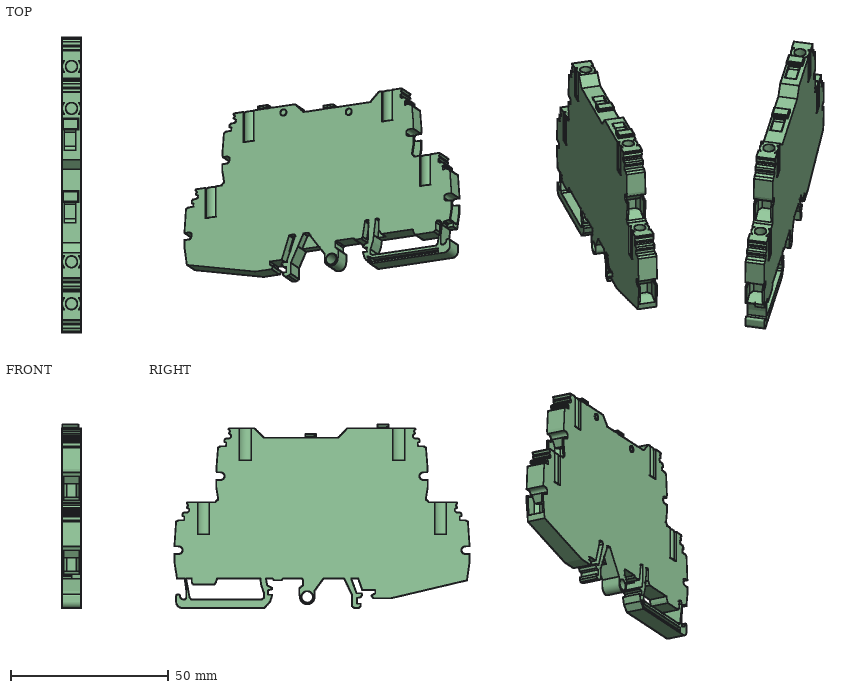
import cadquery as cq


WIDTH = 6.15
LENGTH = 94.0
HEIGHT = 58.55
SIDE_X = -WIDTH / 2
END_Y = LENGTH / 2

TIER_PITCH_Y = 13.35
TIER_PITCH_Z = 23.55
UPPER_TOP_Z = 57.25
LOWER_TOP_Z = UPPER_TOP_Z - TIER_PITCH_Z
UPPER_FACE_Y = END_Y - TIER_PITCH_Y
TIERS = [(UPPER_FACE_Y, UPPER_TOP_Z), (END_Y, LOWER_TOP_Z)]

MIDDLE_DROP = 3.05
MIDDLE_TOP_Z = UPPER_TOP_Z - MIDDLE_DROP
MARKER_PITCH_Y = 23.0

BASE_Z = 9.4
BASE_END_Y = END_Y - 0.85
PAD_EDGE_Y = -41.5
RELIEF_DEPTH = WIDTH / 2

NOTCH_TOP_DROP = 14.1
NOTCH_HEIGHT = 2.35
NOTCH_DEPTH = 2.6
FACE_BELOW_NOTCH = 2.5
UPPER_LIP_HEIGHT = 1.15
UPPER_LIP_INSET = 0.12

FUNNEL_MOUTH_WIDTH = 5.0
FUNNEL_BACK_WIDTH = 3.0
FUNNEL_MOUTH_DROPS = (15.3, 23.0)
FUNNEL_THROAT_DROPS = (17.7, 22.0)
FUNNEL_MOUTH_DEPTH = 4.2
FUNNEL_THROAT_DEPTH = 1.5

SCREW_INSET = 9.25
SCREW_DIAMETER = 3.7
SCREW_DEPTH = 10.15
TUBE_DIAMETER = 5.9

MARKER_Y = 19.4
HEAD_LENGTH = 3.6
HEAD_X = (-3.0, 2.25)
HEAD_THICKNESS = 0.95
HEAD_CHAMFER = 0.3
STEM_LENGTH = 2.65
STEM_OFFSET = 0.2
STEM_X = (-2.95, 2.15)
POCKET_X = (-2.26, 1.4)
POCKET_LENGTH = 6.6
POCKET_RAMP = 1.3
POCKET_DEPTH = 1.0
POCKET_LEDGE = 0.75
POCKET_LEDGE_DEPTH = 0.6

DIMPLE_OFFSET_Y = -7.2
DIMPLE_DROP = 2.15
DIMPLE_DIAMETER = 2.1
DIMPLE_DEPTH = 0.3

EYE_Y = -4.7
EYE_Z = 3.55
EYE_DIAMETER = 4.7
EYE_BORE = 3.6

LEG_Y = -17.8
LEG_TOP_Z = 14.8
STRUT_Y = -43.2
BAR_TOP_Z = 2.8
FOOT_GROOVE_DEPTH = 2.0


def plate(outline, depth=WIDTH):
    """Extrude a closed (y, z) outline inwards from the -X side face."""
    return cq.Workplane("YZ", origin=(SIDE_X, 0, 0)).polyline(outline).close().extrude(depth)


def disc(y, z, diameter, depth=WIDTH):
    """Cylinder along X, starting at the -X side face."""
    return cq.Workplane("YZ", origin=(SIDE_X, 0, 0)).center(y, z).circle(diameter / 2).extrude(depth)


def block(x_range, y_range, z_range):
    """Box spanning the given ranges."""
    size = [end - start for start, end in (x_range, y_range, z_range)]
    corner = (x_range[0], y_range[0], z_range[0])
    return cq.Workplane("XY", origin=corner).box(*size, centered=False)


def shoulder(face_y, top_z, face):
    """Ribbed shoulder and end face of one tier, as (inset from the face, drop from the top)."""
    ribs = [
        (4.2, 0.0), (3.9, 0.3), (4.4, 1.0), (3.95, 1.7), (4.7, 2.2), (4.7, 2.8), (4.3, 3.2),
        (3.0, 3.3), (2.55, 3.8), (2.55, 4.4), (3.15, 4.6), (3.1, 5.7), (1.45, 5.7), (0.55, 6.2),
    ]
    return [(face_y - inset, top_z - drop) for inset, drop in ribs + face]


def end_outline():
    """Stepped +Y end of the body, from the top edge down to the lower tier's face."""
    notch_bottom_drop = NOTCH_TOP_DROP + NOTCH_HEIGHT
    lower_face = [(0.0, NOTCH_TOP_DROP), (0.0, notch_bottom_drop + FACE_BELOW_NOTCH)]
    upper_lip = [(0.0, NOTCH_TOP_DROP - UPPER_LIP_HEIGHT), (UPPER_LIP_INSET, NOTCH_TOP_DROP)]
    upper_face = upper_lip + [(0.0, notch_bottom_drop), lower_face[-1]]
    step_foot = [(UPPER_FACE_Y - 0.6, LOWER_TOP_Z + 1.0), (UPPER_FACE_Y + 0.3, LOWER_TOP_Z)]
    upper = shoulder(UPPER_FACE_Y, UPPER_TOP_Z, upper_face)
    lower = shoulder(END_Y, LOWER_TOP_Z, lower_face)
    return upper + step_foot + lower


def body():
    """Main plate with its stepped ends, lowered middle and skirt."""
    plus_end = end_outline()
    skirt = [
        (BASE_END_Y, 8.8), (22.0, 3.1), (16.3, 3.1), (15.65, 4.0), (16.9, 4.7), (16.9, 5.75),
        (12.75, 5.75), (11.5, BASE_Z),
    ]
    minus_end = [(-y, z) for y, z in reversed(plus_end)]
    top_edge = [
        (-21.5, UPPER_TOP_Z), (-18.4, MIDDLE_TOP_Z), (5.1, MIDDLE_TOP_Z), (8.05, UPPER_TOP_Z),
    ]
    return plate(plus_end + skirt + [(-BASE_END_Y, BASE_Z)] + minus_end + top_edge)


def rail_hook():
    """Springy hook on the +Y side of the rail."""
    return plate([
        (8.0, 13.0), (11.0, 4.8), (12.5, 4.8), (12.85, 4.25), (12.3, 3.4), (11.2, 3.2), (11.2, 1.4),
        (12.35, 1.4), (12.35, 0.6), (11.7, 0.0), (10.3, 0.0), (9.5, 0.6), (9.5, 4.25), (5.05, 13.5),
    ])


def eye_arm():
    """Tapering arm that ends in the hinge eye."""
    radius = EYE_DIAMETER / 2
    arm = plate([
        (3.5, 13.5), (-2.35, 5.5), (EYE_Y + radius, EYE_Z), (EYE_Y - radius, EYE_Z), (-7.25, 4.5),
        (-7.25, 6.25), (-6.05, 7.3), (-6.05, 8.9), (-6.45, BASE_Z), (-6.45, 13.5),
    ])
    return arm.union(disc(EYE_Y, EYE_Z, EYE_DIAMETER)).cut(disc(EYE_Y, EYE_Z, EYE_BORE))


def rail_stop():
    """Low pad on the underside, next to the foot's leg."""
    return plate([(-12.4, BASE_Z), (-12.9, 8.8), (-15.3, 8.8), (-15.75, BASE_Z)])


def base_pad():
    """Thicker part of the underside above the foot."""
    return plate([
        (-33.3, BASE_Z), (-33.7, 8.3), (-34.2, 7.45), (-40.9, 7.45), (PAD_EDGE_Y, 8.15),
        (PAD_EDGE_Y, BASE_Z),
    ])


def rail_foot():
    """Foot frame: a toothed leg, a bottom bar, a thin strut and an upturned toe."""
    frame = (
        cq.Workplane("YZ", origin=(SIDE_X, 0, 0))
        .moveTo(LEG_Y, LEG_TOP_Z)
        .lineTo(LEG_Y, BASE_Z)
        .lineTo(-17.4, 7.2)
        .lineTo(-15.75, 6.4)
        .lineTo(-15.9, 5.95)
        .lineTo(-17.15, 5.65)
        .lineTo(-17.15, 4.25)
        .lineTo(-15.75, 4.25)
        .lineTo(-16.5, 2.0)
        .lineTo(-18.35, 0.0)
        .lineTo(-44.5, 0.0)
        .threePointArc((-45.9, 0.65), (-46.45, 2.0))
        .lineTo(-46.45, 3.8)
        .threePointArc((-45.8, 4.4), (-45.15, 3.8))
        .threePointArc((-44.8, 3.1), (-44.1, BAR_TOP_Z))
        .lineTo(-43.6, BAR_TOP_Z)
        .lineTo(STRUT_Y, 3.3)
        .lineTo(STRUT_Y, 5.5)
        .lineTo(-44.0, 11.5)
        .lineTo(-43.45, 11.5)
        .lineTo(STRUT_Y, BASE_Z)
        .lineTo(-42.1, 3.4)
        .lineTo(-41.6, BAR_TOP_Z)
        .lineTo(-19.1, BAR_TOP_Z)
        .lineTo(-18.5, 3.3)
        .lineTo(-18.5, 4.8)
        .lineTo(-19.4, 7.4)
        .lineTo(-20.3, LEG_TOP_Z)
        .close()
        .extrude(WIDTH)
    )
    groove = plate([
        (-17.3, 2.6), (-18.4, 2.3), (-19.0, 1.8), (-42.2, 1.8), (-42.2, 0.6), (-18.4, 0.6), (-17.9, 1.5),
    ], FOOT_GROOVE_DEPTH)
    return frame.cut(groove)


def underside_reliefs():
    """Slots in the -X half that free the hook, the arm, the leg and the strut."""
    outlines = [
        [(11.5, BASE_Z), (10.15, 13.5), (9.8, 13.7), (8.5, 13.7), (8.0, 13.0), (9.3, BASE_Z)],
        [(7.0, BASE_Z), (5.05, 13.55), (3.5, 13.55), (0.45, BASE_Z)],
        [(-15.75, BASE_Z), (-16.55, 14.5), (-16.9, LEG_TOP_Z), (LEG_Y, LEG_TOP_Z), (LEG_Y, BASE_Z)],
        [
            (-19.65, BASE_Z), (-20.3, LEG_TOP_Z), (-21.05, LEG_TOP_Z), (-21.4, 14.3), (-21.4, 10.65),
            (-22.35, BASE_Z),
        ],
        [
            (PAD_EDGE_Y, BASE_Z), (PAD_EDGE_Y, 10.6), (-42.0, 11.1), (-42.75, 11.1), (-43.4, 10.2),
            (STRUT_Y, BASE_Z),
        ],
        [(-43.75, BASE_Z), (-44.1, 10.15), (-44.6, 10.5), (-46.3, 10.8), (-46.5, BASE_Z)],
    ]
    reliefs = cq.Workplane("YZ")
    for outline in outlines:
        reliefs = reliefs.add(plate(outline, RELIEF_DEPTH))
    return reliefs.combine()


def end_notch(face_y, top_z):
    """Round-bottomed notch across the width of a +Y end face."""
    radius = NOTCH_HEIGHT / 2
    center_y = face_y - NOTCH_DEPTH + radius
    center_z = top_z - NOTCH_TOP_DROP - radius
    mouth = block((SIDE_X, -SIDE_X), (center_y, face_y), (center_z - radius, center_z + radius))
    return mouth.union(disc(center_y, center_z, NOTCH_HEIGHT))


def wire_funnel(face_y, top_z):
    """Wire entry in a +Y end face: a flared mouth opening into the notch, then tapering sides."""
    mouth_top, mouth_bottom = [top_z - drop for drop in FUNNEL_MOUTH_DROPS]
    throat_top, throat_bottom = [top_z - drop for drop in FUNNEL_THROAT_DROPS]
    throat_y = face_y - FUNNEL_MOUTH_DEPTH
    back_y = throat_y - FUNNEL_THROAT_DEPTH
    mouth_half = FUNNEL_MOUTH_WIDTH / 2
    back_half = FUNNEL_BACK_WIDTH / 2
    mouth = (
        cq.Workplane("YZ")
        .polyline([
            (face_y, mouth_top), (face_y - NOTCH_DEPTH, mouth_top), (throat_y, throat_top),
            (throat_y, throat_bottom), (face_y, mouth_bottom),
        ])
        .close()
        .extrude(mouth_half, both=True)
    )
    throat = (
        cq.Workplane("XY", origin=(0, 0, throat_bottom))
        .polyline([
            (-mouth_half, throat_y), (mouth_half, throat_y), (back_half, back_y), (-back_half, back_y),
        ])
        .close()
        .extrude(throat_top - throat_bottom)
    )
    return mouth.union(throat)


def screw_well(face_y, top_z):
    """Screw hole, and the side windows that bare its surrounding tube."""
    y = face_y - SCREW_INSET
    half = SCREW_DIAMETER / 2
    bottom_z = top_z - SCREW_DEPTH
    windows = block((SIDE_X, -SIDE_X), (y - half, y + half), (bottom_z, top_z))
    start = cq.Workplane("XY", origin=(0, y, bottom_z))
    tube = start.circle(TUBE_DIAMETER / 2).extrude(SCREW_DEPTH)
    hole = start.circle(half).extrude(SCREW_DEPTH)
    return windows.cut(tube).union(hole)


def cut_terminals(part):
    """Cut the notch, funnel and screw well of each tier on both ends."""
    for face_y, top_z in TIERS:
        for feature in (end_notch, wire_funnel, screw_well):
            cutter = feature(face_y, top_z)
            part = part.cut(cutter).cut(cutter.mirror("XZ"))
    return part


def add_marker(part, center_y, top_z):
    """Add a T-shaped marker tab, its pocket and the dimple beside it."""
    head_start = center_y - HEAD_LENGTH / 2
    head_end = center_y + HEAD_LENGTH / 2
    marker_top = top_z + HEIGHT - UPPER_TOP_Z
    head_z = (marker_top - HEAD_THICKNESS, marker_top)
    head = block(HEAD_X, (head_start, head_end), head_z).faces(">Z").edges().chamfer(HEAD_CHAMFER)
    floor_z = top_z - POCKET_DEPTH
    stem_start = head_start + STEM_OFFSET
    stem = block(STEM_X, (stem_start, stem_start + STEM_LENGTH), (floor_z, head_z[0]))
    pocket_end = head_start - POCKET_LENGTH
    pocket = (
        cq.Workplane("YZ", origin=(POCKET_X[0], 0, 0))
        .polyline([
            (head_start, top_z), (head_start, top_z - POCKET_LEDGE_DEPTH),
            (head_start - POCKET_LEDGE, floor_z), (pocket_end + POCKET_RAMP, floor_z),
            (pocket_end, top_z),
        ])
        .close()
        .extrude(POCKET_X[1] - POCKET_X[0])
    )
    dimple = disc(center_y + DIMPLE_OFFSET_Y, top_z - DIMPLE_DROP, DIMPLE_DIAMETER, DIMPLE_DEPTH)
    return part.cut(pocket).union(stem).union(head).cut(dimple)


def terminal_block():
    """The complete terminal block."""
    part = body()
    for feature in (rail_stop, base_pad):
        part = part.union(feature())
    part = part.cut(underside_reliefs())
    for feature in (rail_hook, eye_arm, rail_foot):
        part = part.union(feature())
    part = cut_terminals(part)
    part = add_marker(part, MARKER_Y, UPPER_TOP_Z)
    return add_marker(part, MARKER_Y - MARKER_PITCH_Y, MIDDLE_TOP_Z)


result = terminal_block()